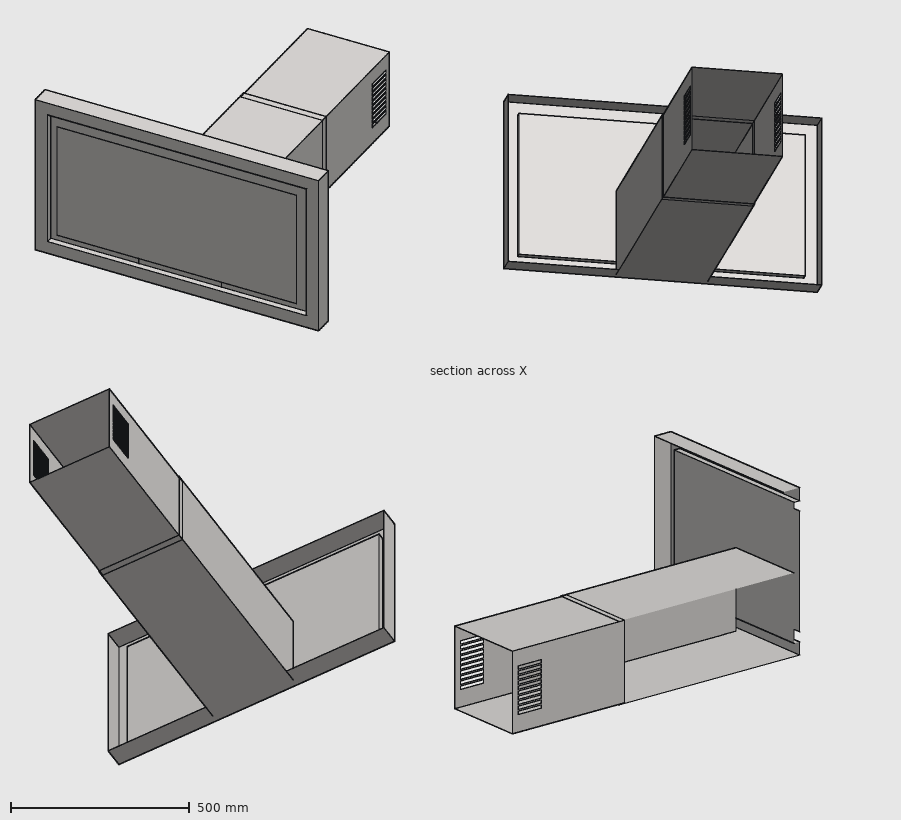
import cadquery as cq

CANOPY_WIDTH = 898.0
CANOPY_HEIGHT = 500.0
CANOPY_DEPTH = 60.0
TOTAL_LENGTH = 1027.0

SHEET = 1.0

FRAME_BORDER = 40.0
RECESS_DEPTH = 20.0
PANEL_INSET = 70.0

DUCT_WIDTH = 263.0
DUCT_HEIGHT = 251.0
DUCT_END = 647.0

SLIDING_CLEARANCE = 0.5
DUCT_OVERLAP = 21.0

VENT_COUNT = 10
VENT_LENGTH = 82.0
VENT_HEIGHT = 10.0
VENT_GAP = 5.0
VENT_END_MARGIN = 21.0
VENT_CENTER_Z = 127.0


def block(width, height, y_start, y_end, z_bottom):
    """Box centred on X, from y_start to y_end, standing on z_bottom."""
    return (
        cq.Workplane("XY")
        .box(width, y_end - y_start, height, centered=(True, False, False))
        .translate((0, y_start, z_bottom))
    )


def inset_block(width, height, inset, y_start, y_end, z_bottom=0.0):
    """Block whose width and height are reduced by inset on all four sides."""
    return block(width - 2 * inset, height - 2 * inset, y_start, y_end, z_bottom + inset)


def tube(width, height, inset, y_start, y_end):
    """Rectangular sheet tube along Y, set in from a width x height outline resting on Z = 0."""
    outside = inset_block(width, height, inset, y_start, y_end)
    inside = inset_block(width, height, inset + SHEET, y_start, y_end)
    return outside.cut(inside)


def make_canopy():
    """Sheet tray, open at the back, with a recessed face and the lower duct behind it."""
    size = (CANOPY_WIDTH, CANOPY_HEIGHT)
    floor_back = RECESS_DEPTH + SHEET

    tray = block(*size, 0, CANOPY_DEPTH, 0)
    tray = tray.cut(inset_block(*size, SHEET, SHEET, CANOPY_DEPTH))

    tray = tray.union(inset_block(*size, FRAME_BORDER - SHEET, 0, floor_back))
    tray = tray.cut(inset_block(*size, FRAME_BORDER, 0, RECESS_DEPTH))

    tray = tray.cut(block(DUCT_WIDTH, DUCT_HEIGHT, floor_back, CANOPY_DEPTH, 0))
    return tray.union(tube(DUCT_WIDTH, DUCT_HEIGHT, 0, floor_back, DUCT_END))


def make_panel():
    """Thin cover plate, flush with the canopy face and clear of the recess walls."""
    return inset_block(CANOPY_WIDTH, CANOPY_HEIGHT, PANEL_INSET, 0, SHEET)


def make_upper_duct():
    """Telescopic tube with a row of vents near its free end."""
    inset = SHEET + SLIDING_CLEARANCE
    duct = tube(DUCT_WIDTH, DUCT_HEIGHT, inset, DUCT_END - DUCT_OVERLAP, TOTAL_LENGTH)

    vent_end = TOTAL_LENGTH - VENT_END_MARGIN
    vent_pitch = VENT_HEIGHT + VENT_GAP
    row_height = VENT_COUNT * vent_pitch - VENT_GAP
    lowest_vent = VENT_CENTER_Z - row_height / 2
    for index in range(VENT_COUNT):
        vent_bottom = lowest_vent + index * vent_pitch
        vent = block(DUCT_WIDTH, VENT_HEIGHT, vent_end - VENT_LENGTH, vent_end, vent_bottom)
        duct = duct.cut(vent)
    return duct


canopy = make_canopy()
panel = make_panel()
upper_duct = make_upper_duct()

result = cq.Compound.makeCompound([canopy.val(), panel.val(), upper_duct.val()])